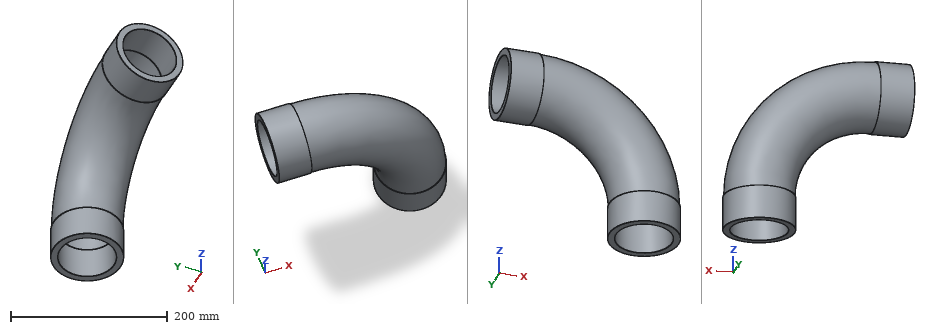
import cadquery as cq

overall_length = 241.0
cuff_diameter = 94.0
cuff_length = 44.5
bend_diameter = 92.0
cuff_bore = 75.0
bend_bore = 73.0
rim_chamfer = 0.5

bend_radius = overall_length - cuff_length - cuff_diameter / 2
half_span = overall_length / 2
axis_x = half_span - cuff_diameter / 2
axis_z = half_span - cuff_diameter / 2
bend_start_x = -half_span + cuff_length


def quarter_bend(diameter):
    """Quarter torus from the horizontal cuff to the vertical cuff."""
    return (
        cq.Workplane("YZ", origin=(bend_start_x, 0, axis_z))
        .circle(diameter / 2)
        .revolve(90, (-2.5, -bend_radius), (2.5, -bend_radius))
    )


def horizontal_end(diameter):
    """Cylinder along X at the open -X end."""
    return cq.Workplane("YZ", origin=(-half_span, 0, axis_z)).circle(diameter / 2).extrude(cuff_length)


def vertical_end(diameter):
    """Cylinder along Z at the open -Z end."""
    return cq.Workplane("XY", origin=(axis_x, 0, -half_span)).circle(diameter / 2).extrude(cuff_length)


def elbow(end_diameter, middle_diameter):
    """Complete elbow shape: two straight ends joined by the bend."""
    bend = quarter_bend(middle_diameter)
    return bend.union(horizontal_end(end_diameter)).union(vertical_end(end_diameter))


body = elbow(cuff_diameter, bend_diameter).cut(elbow(cuff_bore, bend_bore))

result = body.faces("<X or <Z").edges().chamfer(rim_chamfer)